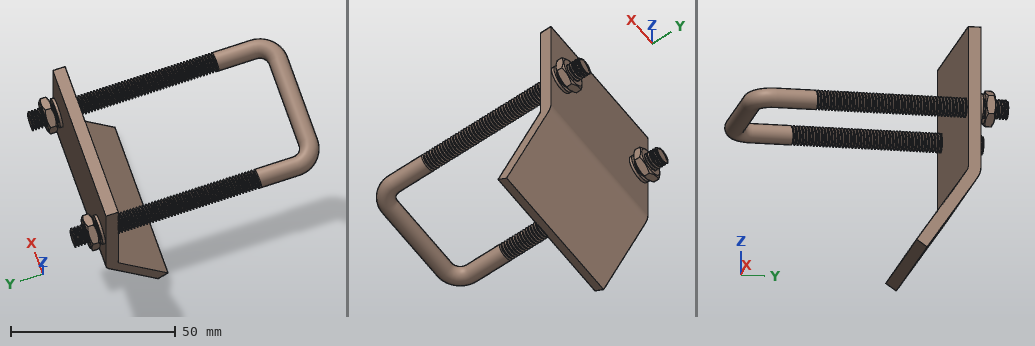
import cadquery as cq
import math


plate_width = 50.0
plate_thickness = 4.0
plate_height = 70.55
edge_above_bolt = 24.4
upright_height = 44.3
bend_angle = math.radians(34.5)
bend_inner_radius = 2.0

bolt_length = 81.0
rod_diameter = 6.0
leg_spacing = 40.0
leg_projection = 9.1
thread_length = 60.0
thread_turns = 60

nut_across_flats = 9.9
nut_thickness = 3.0
nut_clearance = 1.7
nut_face_diameter = 9.3
nut_chamfer_angle = math.radians(30)

seat_diameter = nut_face_diameter
seat_height = 0.9

rod_radius = rod_diameter / 2
bend_radius = rod_diameter
leg_positions = (-leg_spacing / 2, leg_spacing / 2)
bridge_y = leg_projection - bolt_length + rod_radius
bend_start_y = bridge_y + bend_radius
bridge_half_length = leg_spacing / 2 - bend_radius
pitch = thread_length / thread_turns
thread_depth = pitch * math.sqrt(3) / 2 * 5 / 8
crest_width = pitch / 8
root_width = pitch / 4


def cylinder_along_y(x, y_low, length, diameter):
    """Cylinder parallel to Y, starting at y_low and running toward +Y."""
    start = cq.Vector(x, y_low, 0)
    return cq.Workplane(cq.Solid.makeCylinder(diameter / 2, length, start, cq.Vector(0, 1, 0)))


def make_plate():
    """Bent strip with two raised seats and a bolt hole through each."""
    bend_outer_radius = bend_inner_radius + plate_thickness
    bend_top = edge_above_bolt - upright_height
    bottom = edge_above_bolt - plate_height
    flange_length = (bend_top - bottom - bend_outer_radius * math.sin(bend_angle)) / math.cos(bend_angle)

    def on_bend(radius, angle):
        """(y, z) point of the bend, whose centre lies in front of the plate."""
        return (
            radius * math.cos(angle) - bend_outer_radius,
            bend_top - radius * math.sin(angle),
        )

    def flange_end(radius):
        y, z = on_bend(radius, bend_angle)
        return (y - flange_length * math.sin(bend_angle), z - flange_length * math.cos(bend_angle))

    plate = (
        cq.Workplane("YZ", origin=(-plate_width / 2, 0, 0))
        .moveTo(0, edge_above_bolt)
        .lineTo(0, bend_top)
        .threePointArc(on_bend(bend_outer_radius, bend_angle / 2), on_bend(bend_outer_radius, bend_angle))
        .lineTo(*flange_end(bend_outer_radius))
        .lineTo(*flange_end(bend_inner_radius))
        .lineTo(*on_bend(bend_inner_radius, bend_angle))
        .threePointArc(on_bend(bend_inner_radius, bend_angle / 2), (-plate_thickness, bend_top))
        .lineTo(-plate_thickness, edge_above_bolt)
        .close()
        .extrude(plate_width)
    )
    for x in leg_positions:
        plate = plate.union(cylinder_along_y(x, 0, seat_height, seat_diameter))
    for x in leg_positions:
        plate = plate.cut(
            cylinder_along_y(x, -plate_thickness, plate_thickness + seat_height, rod_diameter)
        )
    return plate


def make_thread_groove():
    """Right-handed helical cutter around Z, which ends half a pitch below the top of the thread."""
    overshoot = thread_depth / 5
    flank_slope = (pitch - crest_width - root_width) / 2 / thread_depth
    half_mouth = root_width / 2 + flank_slope * (thread_depth + overshoot)
    root_radius = rod_radius - thread_depth
    mouth_radius = rod_radius + overshoot
    path = cq.Wire.makeHelix(pitch, thread_length, rod_radius)
    return (
        cq.Workplane("XZ")
        .polyline([
            (root_radius, -root_width / 2),
            (mouth_radius, -half_mouth),
            (mouth_radius, half_mouth),
            (root_radius, root_width / 2),
        ])
        .close()
        .sweep(cq.Workplane(path), isFrenet=True)
        .translate((0, 0, -pitch / 2))
    )


def make_threaded_leg():
    """Threaded stretch along +Z from its free end at Z = 0."""
    rod = cq.Workplane("XY").circle(rod_radius).extrude(thread_length)
    return rod.cut(make_thread_groove())


def make_u_bolt():
    """Round rod bent to a U, with a thread on both legs."""
    thread_end_y = leg_projection - thread_length
    corner_middle = bend_radius * math.sin(math.pi / 4)
    corner_x = bridge_half_length + corner_middle
    corner_y = bend_start_y - corner_middle
    left, right = leg_positions
    path = (
        cq.Workplane("XY")
        .moveTo(left, thread_end_y)
        .lineTo(left, bend_start_y)
        .threePointArc((-corner_x, corner_y), (-bridge_half_length, bridge_y))
        .lineTo(bridge_half_length, bridge_y)
        .threePointArc((corner_x, corner_y), (right, bend_start_y))
        .lineTo(right, thread_end_y)
    )
    bolt = cq.Workplane("XZ", origin=(left, thread_end_y, 0)).circle(rod_radius).sweep(path)
    threaded_leg = (
        make_threaded_leg()
        .rotate((0, 0, 0), (0, 0, 1), 180)
        .rotate((0, 0, 0), (1, 0, 0), 90)
    )
    for x in leg_positions:
        bolt = bolt.union(threaded_leg.translate((x, leg_projection, 0)), glue=True)
    return bolt


def make_nut(x):
    """Hexagon nut with corners up and down, both faces chamfered, and a bore for the rod."""
    corner_radius = nut_across_flats / 2 / math.cos(math.pi / 6)
    face_radius = nut_face_diameter / 2
    chamfer_height = (corner_radius - face_radius) * math.tan(nut_chamfer_angle)
    hexagon = (
        cq.Workplane("XY")
        .polygon(6, 2 * corner_radius)
        .extrude(nut_thickness)
        .rotate((0, 0, 0), (0, 0, 1), 90)
    )
    chamfered_disc = (
        cq.Workplane("XZ")
        .polyline([
            (0, 0),
            (face_radius, 0),
            (corner_radius, chamfer_height),
            (corner_radius, nut_thickness - chamfer_height),
            (face_radius, nut_thickness),
            (0, nut_thickness),
        ])
        .close()
        .revolve(360, (0, 0, 0), (0, 1, 0))
    )
    bore = cq.Workplane("XY").circle(rod_radius).extrude(nut_thickness)
    nut = hexagon.intersect(chamfered_disc).cut(bore)
    return nut.rotate((0, 0, 0), (1, 0, 0), -90).translate((x, nut_clearance, 0))


plate = make_plate()
u_bolt = make_u_bolt()
nuts = [make_nut(x) for x in leg_positions]

bodies = [plate, u_bolt, *nuts]
result = cq.Compound.makeCompound([body.solids().val() for body in bodies])